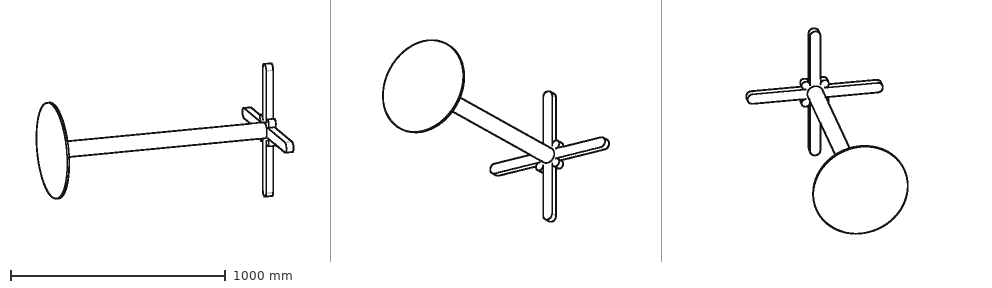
import cadquery as cq

overall_length = 1080.0
disc_diameter = 450.0
disc_thickness = 10.0
column_diameter = 75.0
spider_span = 643.47
spider_thickness = 35.0
arm_width = 50.0
lobe_diameter = 40.0

lobe_offset = (arm_width + lobe_diameter) / 2

disc_outer_y = -overall_length / 2
column_start_y = disc_outer_y + disc_thickness
spider_outer_y = overall_length / 2
spider_inner_y = spider_outer_y - spider_thickness
column_length = spider_inner_y - column_start_y


def section_plane(y):
    """XZ sketch plane at the given Y, extruding toward +Y; its local x is Z and its local y is X."""
    return cq.Workplane(cq.Plane(origin=(0, y, 0), xDir=(0, 0, 1), normal=(0, 1, 0)))


def make_pedestal():
    """Round disc with the column standing on its centre."""
    disc = section_plane(disc_outer_y).circle(disc_diameter / 2).extrude(disc_thickness)
    column = section_plane(column_start_y).circle(column_diameter / 2).extrude(column_length)
    return disc.union(column)


def make_spider():
    """Cross of two round-ended bars on a square hub that has a round lobe on each corner."""
    sketch_plane = section_plane(spider_inner_y)
    upright_bar = sketch_plane.slot2D(spider_span, arm_width).extrude(spider_thickness)
    level_bar = sketch_plane.slot2D(spider_span, arm_width, 90).extrude(spider_thickness)
    hub = sketch_plane.rect(2 * lobe_offset, 2 * lobe_offset).extrude(spider_thickness)
    lobes = (
        sketch_plane.rect(2 * lobe_offset, 2 * lobe_offset, forConstruction=True)
        .vertices()
        .circle(lobe_diameter / 2)
        .extrude(spider_thickness)
    )
    return upright_bar.union(level_bar).union(hub).union(lobes)


pedestal = make_pedestal()
spider = make_spider()

result = cq.Compound.makeCompound([pedestal.solids().val(), spider.solids().val()])